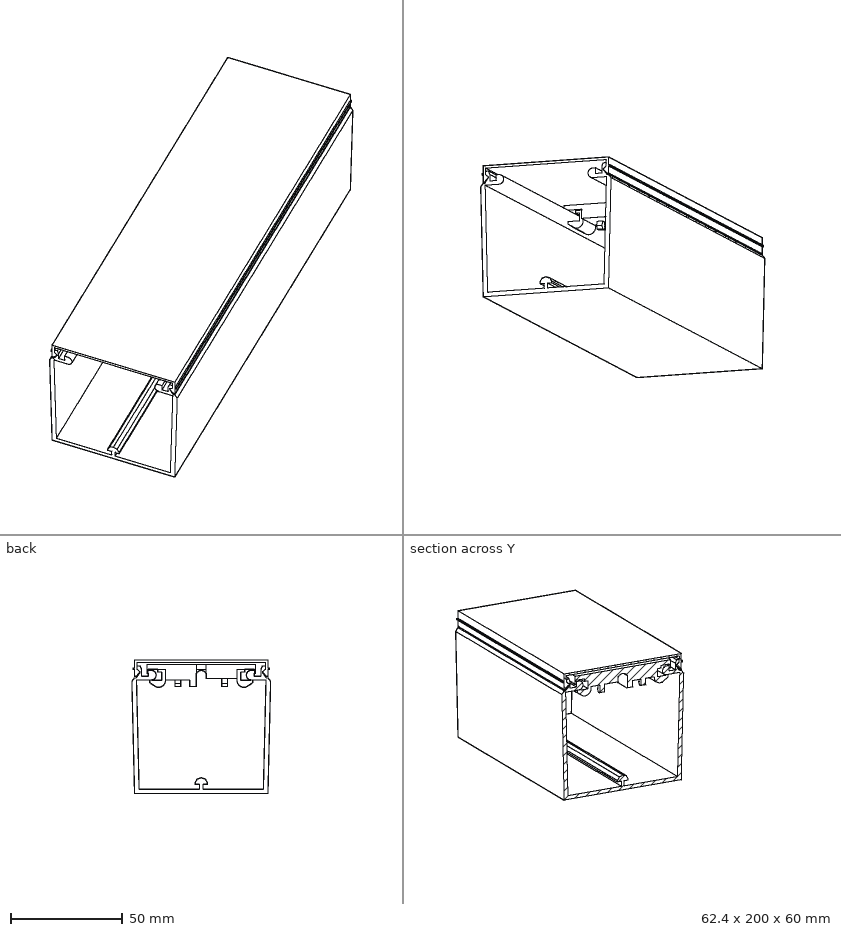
import cadquery as cq

length = 200.0
height = 60.0

base_half_width = 30.0
shoulder_half_width = 31.2
shoulder_z = 50.5
wall = 2.2
floor = 2.0
shelf_bottom_z = 51.0
shelf_top_z = 52.8

stem_half = 0.8
head_half = 2.8
head_bottom_z = 4.2
head_side_z = 5.0
head_shoulder = (1.8, 6.5)
tip_z = 7.2

bulb_radius = 2.2
bulb_x = 22.5
bulb_z = shelf_bottom_z + bulb_radius
bulb_outer_x = 23.8

upright_inner_x = 26.8
upright_top_inner_x = 27.5
upright_top_z = 57.5

cover_half_width = 30.0
cover_thickness = 1.2
cover_underside_z = height - cover_thickness
cover_leg_inner_x = cover_half_width - cover_thickness
cover_seat_z = 52.0
cover_leg_bottom_z = 52.5
barb_top_z = 55.8
barb_tip_x = 27.5
barb_tip_z = 54.5
barb_bottom_x = 29.2
bead_height = 0.5
bead_top_z = 56.5
bead_bottom_z = 55.8

clip_length = 20.0
clip_setback = 2.0
setback_length = clip_length - 2 * clip_setback
clip_half_width = 24.5
clip_top_z = 58.0
plate_bottom_z = 55.8
lip_bottom_z = 54.0
gap_half = 2.2
block_half_width = 16.0
left_block_bottom_z = 51.5
right_block_bottom_z = 51.0
foot_width = 3.0
foot_bottom_z = 48.0
arch_setback = 4.0
arch_crown_z = 55.2
arch_side_z = 54.0

hook_inner_x = 17.8
hook_tip_x = 23.2
hook_tip_z = 49.8
hook_bend = (17.2, 48.5)
hook_lowest = (20.2, 47.8)
hook_curve_z = 50.5
pad_outer_x = 19.5
pad_bottom_z = 54.5

peg_inner_x = 9.2
peg_width = 2.5
peg_bottom_z = 48.0
peg_barb_z = 49.5
peg_half_depth = 1.2
peg_barb_depth = 2.0


def extrude_along_y(outline, size):
    """Extrude an XZ outline along Y, centred on Y = 0."""
    return outline.close().extrude(size / 2, both=True)


def slab(x_min, x_max, z_min, z_max, size):
    """Rectangular block of the given length, centred on Y = 0."""
    return (
        cq.Workplane("XY")
        .box(x_max - x_min, size, z_max - z_min)
        .translate(((x_min + x_max) / 2, 0, (z_min + z_max) / 2))
    )


def mirrored(half):
    """Join a half to its mirror image across X = 0."""
    return half.union(half.mirror("YZ")).clean()


def make_base():
    lean = (shoulder_half_width - base_half_width) / shoulder_z
    inner_bottom_x = base_half_width - wall + lean * floor
    inner_top_x = base_half_width - wall + lean * shelf_bottom_z
    outline = (
        cq.Workplane("XZ")
        .moveTo(0, 0)
        .lineTo(base_half_width, 0)
        .lineTo(shoulder_half_width, shoulder_z)
        .lineTo(cover_half_width, cover_seat_z)
        .lineTo(barb_bottom_x, cover_seat_z)
        .lineTo(barb_tip_x, barb_tip_z)
        .lineTo(cover_leg_inner_x, barb_top_z)
        .lineTo(cover_leg_inner_x, upright_top_z)
        .lineTo(upright_top_inner_x, upright_top_z)
        .lineTo(upright_inner_x, barb_top_z)
        .lineTo(upright_inner_x, shelf_top_z)
        .lineTo(bulb_outer_x, shelf_top_z)
        .lineTo(bulb_outer_x, bulb_z + bulb_radius)
        .lineTo(bulb_x, bulb_z + bulb_radius)
        .threePointArc((bulb_x - bulb_radius, bulb_z), (bulb_x, shelf_bottom_z))
        .lineTo(inner_top_x, shelf_bottom_z)
        .lineTo(inner_bottom_x, floor)
        .lineTo(stem_half, floor)
        .lineTo(stem_half, head_bottom_z)
        .lineTo(head_half, head_bottom_z)
        .lineTo(head_half, head_side_z)
        .lineTo(*head_shoulder)
        .lineTo(0, tip_z)
    )
    return mirrored(extrude_along_y(outline, length))


def make_cover():
    outline = (
        cq.Workplane("XZ")
        .moveTo(0, height)
        .lineTo(cover_half_width, height)
        .lineTo(cover_half_width, bead_top_z)
        .lineTo(cover_half_width + bead_height, bead_top_z)
        .lineTo(cover_half_width + bead_height, bead_bottom_z)
        .lineTo(cover_half_width, bead_bottom_z)
        .lineTo(cover_half_width, cover_leg_bottom_z)
        .lineTo(barb_bottom_x, cover_leg_bottom_z)
        .lineTo(barb_tip_x, barb_tip_z)
        .lineTo(cover_leg_inner_x, barb_top_z)
        .lineTo(cover_leg_inner_x, cover_underside_z)
        .lineTo(0, cover_underside_z)
    )
    return mirrored(extrude_along_y(outline, length))


def make_clip_wing():
    """Right-hand part of the clip's plate, with the lip outside the bulb."""
    plate = slab(gap_half, clip_half_width, plate_bottom_z, clip_top_z, clip_length)
    lip = slab(bulb_outer_x, clip_half_width, lip_bottom_z, plate_bottom_z, clip_length)
    return plate.union(lip)


def make_clip_hook():
    """Right-hand hook: an arm down from the plate, curling out under the shelf."""
    outline = (
        cq.Workplane("XZ")
        .moveTo(block_half_width, plate_bottom_z)
        .lineTo(block_half_width, hook_curve_z)
        .threePointArc(hook_bend, hook_lowest)
        .lineTo(hook_tip_x, hook_tip_z)
        .lineTo(hook_tip_x, shelf_bottom_z)
        .lineTo(hook_inner_x, shelf_bottom_z)
        .lineTo(hook_inner_x, pad_bottom_z)
        .lineTo(pad_outer_x, pad_bottom_z)
        .lineTo(pad_outer_x, plate_bottom_z)
    )
    return extrude_along_y(outline, setback_length)


def make_clip_bridge():
    """Plate that joins the two halves of the clip, with a shorter arched web under it."""
    outline = (
        cq.Workplane("XZ")
        .moveTo(-gap_half, clip_top_z)
        .lineTo(gap_half, clip_top_z)
        .lineTo(gap_half, arch_side_z)
        .threePointArc((0, arch_crown_z), (-gap_half, arch_side_z))
    )
    arch = extrude_along_y(outline, clip_length - 2 * arch_setback)
    plate = slab(-gap_half, gap_half, plate_bottom_z, clip_top_z, setback_length)
    return arch.union(plate)


def make_peg(x_min, top_z):
    """Peg whose faces flare out to a barb and then taper to its end."""
    return (
        cq.Workplane("YZ", origin=(x_min, 0, 0))
        .polyline(
            [
                (-peg_half_depth, top_z),
                (-peg_barb_depth, peg_barb_z),
                (-peg_half_depth, peg_bottom_z),
                (peg_half_depth, peg_bottom_z),
                (peg_barb_depth, peg_barb_z),
                (peg_half_depth, top_z),
            ]
        )
        .close()
        .extrude(peg_width)
    )


def make_clip():
    sides = mirrored(make_clip_wing().union(make_clip_hook()))
    left_block = slab(-block_half_width, -gap_half, left_block_bottom_z, plate_bottom_z, clip_length)
    right_block = slab(gap_half, block_half_width, right_block_bottom_z, plate_bottom_z, clip_length)
    foot = slab(gap_half, gap_half + foot_width, foot_bottom_z, right_block_bottom_z, clip_length)
    left_peg = make_peg(-peg_inner_x - peg_width, left_block_bottom_z)
    right_peg = make_peg(peg_inner_x, right_block_bottom_z)
    clip = sides.union(make_clip_bridge())
    for piece in (left_block, right_block, foot, left_peg, right_peg):
        clip = clip.union(piece)
    return clip.clean()


base = make_base()
cover = make_cover()
clip = make_clip()

bodies = [base, cover, clip]
result = cq.Compound.makeCompound([body.solids().val() for body in bodies])